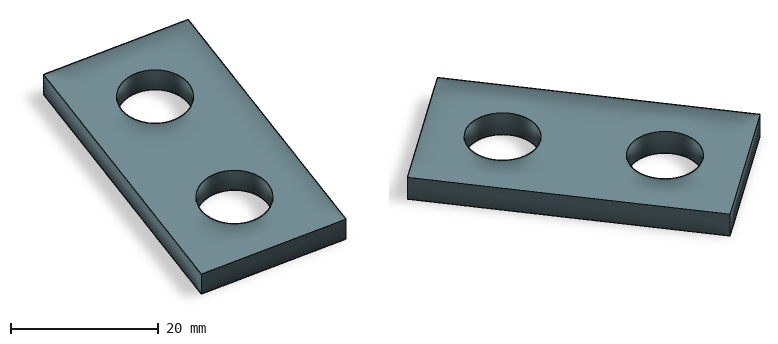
import cadquery as cq

plate_length = 44.45
plate_width = 22.35
plate_thickness = 3.75

hole_diameter = 10.41
hole_pitch = 22.35


def make_plate():
    """Flat rectangular plate centred on the origin."""
    return cq.Workplane("XY").box(plate_length, plate_width, plate_thickness)


def drill_holes(plate):
    """Pair of through holes on the lengthwise centre line."""
    hole_centres = [(side * hole_pitch / 2, 0) for side in (-1, 1)]
    return plate.faces(">Z").workplane().pushPoints(hole_centres).hole(hole_diameter)


result = drill_holes(make_plate())